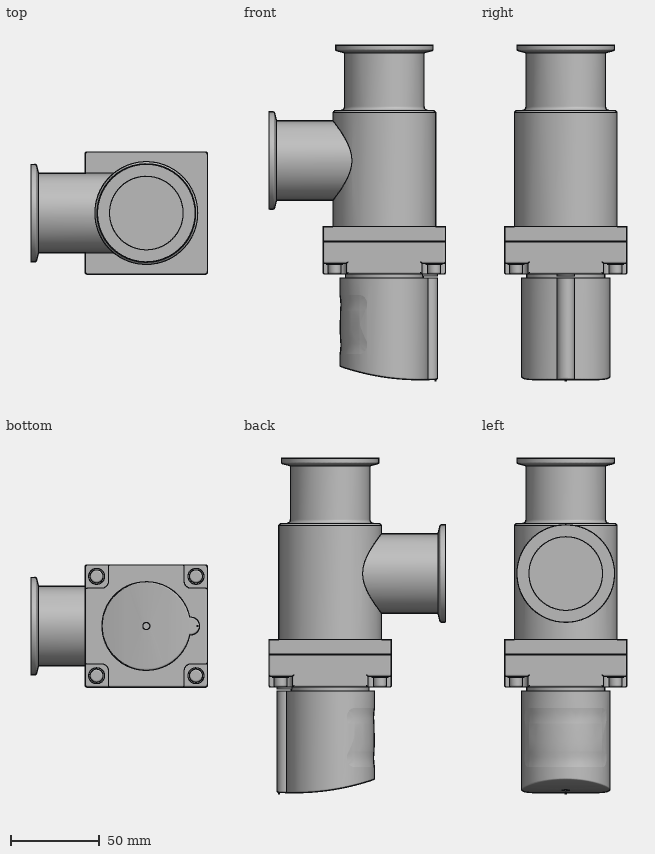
import cadquery as cq
import math


TUBE_RADIUS = 22.5
FLANGE_RADIUS = 27.5
FLANGE_RIM_THICKNESS = 3.0
FLANGE_TAPER_ANGLE = 15.0
FLANGE_TAPER_HEIGHT = (FLANGE_RADIUS - TUBE_RADIUS) * math.tan(math.radians(FLANGE_TAPER_ANGLE))
FLANGE_RIM_FILLET = 1.0
BORE_RADIUS = 20.75
BORE_DEPTH = 3.0
PORT_REACH = 65.0

BODY_RADIUS = 29.0
BODY_TOP = 28.3
BODY_CHAMFER = 1.2
TUBE_ROOT_FILLET = 2.0

BONNET_SIDE = 69.0
BONNET_TOP = -37.3
UPPER_PLATE_THICKNESS = 8.3
LOWER_PLATE_THICKNESS = 18.4
BONNET_CORNER_RADIUS = 1.2
JOINT_BEVEL = 0.3
JOINT_Z = BONNET_TOP - UPPER_PLATE_THICKNESS
BONNET_BOTTOM = JOINT_Z - LOWER_PLATE_THICKNESS

NOTCH_SIDE = 13.2
NOTCH_HEIGHT = 6.0
NOTCH_CEILING = BONNET_BOTTOM + NOTCH_HEIGHT
NOTCH_CORNER_RADIUS = 4.0
FOOT_EDGE_FILLET = 1.0
WASHER_RADIUS = 4.5
WASHER_THICKNESS = 0.5
BOLT_OFFSET = 28.0
BOLT_HEAD_RADIUS = 3.7
BOLT_HEAD_FILLET = 1.0

HANDLE_RADIUS = 25.0
HANDLE_TOP = -66.2
NECK_RADIUS = 22.0
RIB_RADIUS = 5.0
STOP_GAP = 1.0
HANDLE_BACK_BOTTOM = -116.0
HANDLE_BOTTOM = -123.3
BOTTOM_ARC_RADIUS = 138.0
HANDLE_EDGE_FILLET = 0.8
SCREW_HOLE_RADIUS = 2.0
SCREW_HOLE_DEPTH = 5.0
TIP_RADIUS = 0.3
TIP_X = 28.8
TIP_EMBED = 1.0
OVERALL_HEIGHT = 189.2
PART_BOTTOM = PORT_REACH - OVERALL_HEIGHT

GRIP_CENTER_Z = -92.6
GRIP_HALF_HEIGHT = 16.7
GRIP_INFLECTION = 7.9
GRIP_DEPTH = 0.5
GRIP_INFLECTION_DEPTH = 0.3
GRIP_CREST_DEPTH = 0.005
GRIP_HALF_ANGLE = 56.0
GRIP_CUTTER_MARGIN = 2.0
GRIP_CUTTER_RADIUS = HANDLE_RADIUS + GRIP_CUTTER_MARGIN
GRIP_RUNOUT = 8.0


def cylinder(radius, bottom, top, x=0, y=0):
    return cq.Workplane("XY", origin=(x, y, bottom)).circle(radius).extrude(top - bottom)


def port_tube():
    """Flanged tube along +Z from the origin to the flange face."""
    tube = cylinder(TUBE_RADIUS, 0, PORT_REACH)
    taper_bottom = PORT_REACH - FLANGE_RIM_THICKNESS - FLANGE_TAPER_HEIGHT
    flange = (
        cq.Workplane("XZ")
        .moveTo(0, PORT_REACH)
        .lineTo(FLANGE_RADIUS, PORT_REACH)
        .lineTo(FLANGE_RADIUS, PORT_REACH - FLANGE_RIM_THICKNESS)
        .lineTo(TUBE_RADIUS, taper_bottom)
        .lineTo(0, taper_bottom)
        .close()
        .revolve(360, (0, 0, 0), (0, 1, 0))
    )
    rim_corner = cq.selectors.NearestToPointSelector((0, 0, PORT_REACH - FLANGE_RIM_THICKNESS))
    flange = flange.edges(rim_corner).fillet(FLANGE_RIM_FILLET)
    return tube.union(flange)


def port_bore():
    return cylinder(BORE_RADIUS, PORT_REACH - BORE_DEPTH, PORT_REACH)


def to_side(shape):
    """Turn a +Z shape to point along -X."""
    return shape.rotate((0, 0, 0), (0, 1, 0), -90)


def valve_body():
    body = cylinder(BODY_RADIUS, BONNET_TOP, BODY_TOP).faces(">Z").edges().chamfer(BODY_CHAMFER)
    root_radius = TUBE_RADIUS + TUBE_ROOT_FILLET
    arc_offset = TUBE_ROOT_FILLET * (1 - math.sqrt(0.5))
    root = (
        cq.Workplane("XZ")
        .moveTo(0, BODY_TOP)
        .lineTo(root_radius, BODY_TOP)
        .threePointArc(
            (TUBE_RADIUS + arc_offset, BODY_TOP + arc_offset),
            (TUBE_RADIUS, BODY_TOP + TUBE_ROOT_FILLET),
        )
        .lineTo(0, BODY_TOP + TUBE_ROOT_FILLET)
        .close()
        .revolve(360, (0, 0, 0), (0, 1, 0))
    )
    port = port_tube()
    body = body.union(root).union(port).union(to_side(port))
    return body.cut(port_bore()).cut(to_side(port_bore()))


def plate(bottom, thickness):
    return (
        cq.Workplane("XY", origin=(0, 0, bottom))
        .rect(BONNET_SIDE, BONNET_SIDE)
        .extrude(thickness)
        .edges("|Z")
        .fillet(BONNET_CORNER_RADIUS)
    )


def foot():
    """Cross-shaped lower layer left between the corner notches, with rounded inner corners."""
    width = BONNET_SIDE - 2 * NOTCH_SIDE
    layer = cq.Workplane("XY", origin=(0, 0, BONNET_BOTTOM))
    cross = layer.rect(BONNET_SIDE, width).extrude(NOTCH_HEIGHT)
    cross = cross.union(layer.rect(width, BONNET_SIDE).extrude(NOTCH_HEIGHT))
    reach = (width + NOTCH_SIDE) / 2
    inner_box = cq.selectors.BoxSelector((-reach, -reach, BONNET_BOTTOM), (reach, reach, NOTCH_CEILING))
    return cross.edges("|Z").edges(inner_box).fillet(NOTCH_CORNER_RADIUS)


def side_band(x, y):
    """Selects the notch-height edges on the bonnet side face centred at (x, y)."""
    reach_x = FOOT_EDGE_FILLET if x else BONNET_SIDE
    reach_y = FOOT_EDGE_FILLET if y else BONNET_SIDE
    low = (x - reach_x, y - reach_y, BONNET_BOTTOM - FOOT_EDGE_FILLET)
    high = (x + reach_x, y + reach_y, NOTCH_CEILING + FOOT_EDGE_FILLET)
    return cq.selectors.BoxSelector(low, high)


def lower_plate():
    """Full square over the notched foot, with the lower outer edges rounded."""
    half = BONNET_SIDE / 2
    lower = plate(NOTCH_CEILING, JOINT_Z - NOTCH_CEILING).union(foot())
    outer_edges = side_band(-half, 0) + side_band(half, 0) + side_band(0, -half) + side_band(0, half)
    lower = lower.edges(outer_edges).fillet(FOOT_EDGE_FILLET)
    return lower.faces(">Z").edges().chamfer(JOINT_BEVEL)


def bolt(x, y):
    """Washer against the notch ceiling with a cylindrical head below it."""
    washer = cylinder(WASHER_RADIUS, NOTCH_CEILING - WASHER_THICKNESS, NOTCH_CEILING, x, y)
    head = cylinder(BOLT_HEAD_RADIUS, BONNET_BOTTOM, NOTCH_CEILING, x, y)
    return washer.union(head.faces("<Z").edges().fillet(BOLT_HEAD_FILLET))


def bonnet():
    upper = plate(JOINT_Z, UPPER_PLATE_THICKNESS).faces("<Z").edges().chamfer(JOINT_BEVEL)
    assembly = upper.union(lower_plate())
    for x in (-BOLT_OFFSET, BOLT_OFFSET):
        for y in (-BOLT_OFFSET, BOLT_OFFSET):
            assembly = assembly.union(bolt(x, y))
    return assembly


def stop_bar(bottom, top):
    """Round-nosed rib on the +X side, running back to the axis."""
    base = cq.Workplane("XY", origin=(HANDLE_RADIUS / 2, 0, bottom))
    bar = base.rect(HANDLE_RADIUS, 2 * RIB_RADIUS).extrude(top - bottom)
    return bar.union(cylinder(RIB_RADIUS, bottom, top, x=HANDLE_RADIUS))


def handle_blank():
    """Round grip with a rib at +X, cut off below by a large arc that rises toward -X."""
    nose = HANDLE_RADIUS + RIB_RADIUS
    blank = cylinder(HANDLE_RADIUS, PART_BOTTOM, HANDLE_TOP)
    blank = blank.union(cylinder(RIB_RADIUS, PART_BOTTOM, HANDLE_TOP, x=HANDLE_RADIUS))
    envelope = (
        cq.Workplane("XZ")
        .moveTo(-HANDLE_RADIUS, HANDLE_TOP)
        .lineTo(-HANDLE_RADIUS, HANDLE_BACK_BOTTOM)
        .radiusArc((nose, HANDLE_BOTTOM), -BOTTOM_ARC_RADIUS)
        .lineTo(nose, HANDLE_TOP)
        .close()
        .extrude(2 * HANDLE_RADIUS, both=True)
    )
    return blank.intersect(envelope).faces("<Z").edges().fillet(HANDLE_EDGE_FILLET)


def grip_section(workplane):
    """Space outside two shallow hollows; local x is the distance from the handle axis."""
    deep = HANDLE_RADIUS - GRIP_DEPTH
    bend = HANDLE_RADIUS - GRIP_INFLECTION_DEPTH
    hollow_z = (GRIP_HALF_HEIGHT + GRIP_INFLECTION) / 2
    return (
        workplane.moveTo(GRIP_CUTTER_RADIUS, GRIP_HALF_HEIGHT)
        .lineTo(HANDLE_RADIUS, GRIP_HALF_HEIGHT)
        .threePointArc((deep, hollow_z), (bend, GRIP_INFLECTION))
        .threePointArc((HANDLE_RADIUS - GRIP_CREST_DEPTH, 0), (bend, -GRIP_INFLECTION))
        .threePointArc((deep, -hollow_z), (HANDLE_RADIUS, -GRIP_HALF_HEIGHT))
        .lineTo(GRIP_CUTTER_RADIUS, -GRIP_HALF_HEIGHT)
        .close()
    )


def grip_cutters():
    """Grooves swept round the -X side, each end running out along the tangent."""
    section = cq.Workplane("XZ", origin=(0, 0, GRIP_CENTER_Z))
    sweep = grip_section(section).revolve(2 * GRIP_HALF_ANGLE, (0, 0, 0), (0, 1, 0))
    sweep = sweep.rotate((0, 0, 0), (0, 0, 1), 180 - GRIP_HALF_ANGLE)
    cutters = [sweep]
    for side in (-1, 1):
        runout = grip_section(section).extrude(-side * GRIP_RUNOUT)
        cutters.append(runout.rotate((0, 0, 0), (0, 0, 1), 180 + side * GRIP_HALF_ANGLE))
    return cutters


def handle():
    grip = handle_blank()
    for cutter in grip_cutters():
        grip = grip.cut(cutter)
    screw_hole_top = HANDLE_BOTTOM + SCREW_HOLE_DEPTH
    grip = grip.cut(cylinder(SCREW_HOLE_RADIUS, PART_BOTTOM, screw_hole_top))
    neck = cylinder(NECK_RADIUS, HANDLE_TOP, BONNET_BOTTOM)
    stop = stop_bar(HANDLE_TOP + STOP_GAP, BONNET_BOTTOM)
    tip = cylinder(TIP_RADIUS, PART_BOTTOM, HANDLE_BOTTOM + TIP_EMBED, x=TIP_X)
    return grip.union(neck).union(stop).union(tip)


result = valve_body().union(bonnet()).union(handle())